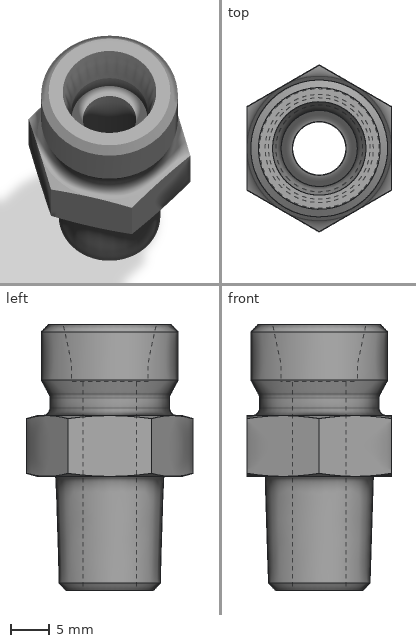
import cadquery as cq
import math

height = 35.0
end_chamfer = 1.0
gauge_z = 5.88
hex_bottom = 15.0
hex_top = 23.0
neck_top = 25.6
collar_bottom = 27.7

tip_diameter = 11.4
gauge_diameter = 13.65
taper = 1 / 16
neck_diameter = 15.7
neck_fillet = 1.0
collar_diameter = 18.0
mouth_face_diameter = 16.0

hex_across_flats = 19.0
hex_chamfer_angle = 15.0

bore_diameter = 7.0
socket_diameter = 10.0
mouth_diameter = 12.3
cone_half_angle = 12.0
socket_depth = 7.5


def taper_radius(z):
    """Radius of the tapered stem at height z."""
    return (gauge_diameter + (z - gauge_z) * taper) / 2


def make_stem():
    """Tapered lower stem with a chamfered end."""
    return (
        cq.Workplane("XZ")
        .moveTo(0, 0)
        .lineTo(tip_diameter / 2, 0)
        .lineTo(taper_radius(end_chamfer), end_chamfer)
        .lineTo(taper_radius(hex_bottom), hex_bottom)
        .lineTo(0, hex_bottom)
        .close()
        .revolve(360, (0, 0, 0), (0, 1, 0))
    )


def make_hexagon():
    """Hexagon with corners on the Y axis, its corners turned off at both ends."""
    corner_radius = hex_across_flats / math.sqrt(3)
    flat_radius = hex_across_flats / 2
    drop = (corner_radius - flat_radius) * math.tan(math.radians(hex_chamfer_angle))
    prism = (
        cq.Workplane("XY")
        .workplane(offset=hex_bottom)
        .polygon(6, 2 * corner_radius)
        .extrude(hex_top - hex_bottom)
        .rotate((0, 0, 0), (0, 0, 1), 90)
    )
    turned_envelope = (
        cq.Workplane("XZ")
        .moveTo(0, hex_bottom)
        .lineTo(flat_radius, hex_bottom)
        .lineTo(corner_radius, hex_bottom + drop)
        .lineTo(corner_radius, hex_top - drop)
        .lineTo(flat_radius, hex_top)
        .lineTo(0, hex_top)
        .close()
        .revolve(360, (0, 0, 0), (0, 1, 0))
    )
    return prism.intersect(turned_envelope)


def make_collar():
    """Neck filleted at both ends and the chamfered collar above the hexagon."""
    neck_radius = neck_diameter / 2
    flank_angle = math.atan2(collar_diameter / 2 - neck_radius, collar_bottom - neck_top)
    tangent_length = neck_fillet * math.tan(flank_angle / 2)
    arc_center_x = neck_radius + neck_fillet
    arc_center_z = neck_top - tangent_length
    fillet_middle = neck_fillet * (1 - math.sqrt(0.5))
    return (
        cq.Workplane("XZ")
        .moveTo(0, hex_top)
        .lineTo(neck_radius + neck_fillet, hex_top)
        .threePointArc(
            (neck_radius + fillet_middle, hex_top + fillet_middle),
            (neck_radius, hex_top + neck_fillet),
        )
        .lineTo(neck_radius, arc_center_z)
        .threePointArc(
            (
                arc_center_x - neck_fillet * math.cos(flank_angle / 2),
                arc_center_z + neck_fillet * math.sin(flank_angle / 2),
            ),
            (
                arc_center_x - neck_fillet * math.cos(flank_angle),
                arc_center_z + neck_fillet * math.sin(flank_angle),
            ),
        )
        .lineTo(collar_diameter / 2, collar_bottom)
        .lineTo(collar_diameter / 2, height - end_chamfer)
        .lineTo(mouth_face_diameter / 2, height)
        .lineTo(0, height)
        .close()
        .revolve(360, (0, 0, 0), (0, 1, 0))
    )


def make_bore():
    """Through bore opening into a tube socket with a conical mouth."""
    cone_run = (mouth_diameter - socket_diameter) / 2
    cone_depth = cone_run / math.tan(math.radians(cone_half_angle))
    return (
        cq.Workplane("XZ")
        .moveTo(0, 0)
        .lineTo(bore_diameter / 2, 0)
        .lineTo(bore_diameter / 2, height - socket_depth)
        .lineTo(socket_diameter / 2, height - socket_depth)
        .lineTo(socket_diameter / 2, height - cone_depth)
        .lineTo(mouth_diameter / 2, height)
        .lineTo(0, height)
        .close()
        .revolve(360, (0, 0, 0), (0, 1, 0))
    )


result = make_stem().union(make_hexagon()).union(make_collar()).cut(make_bore())